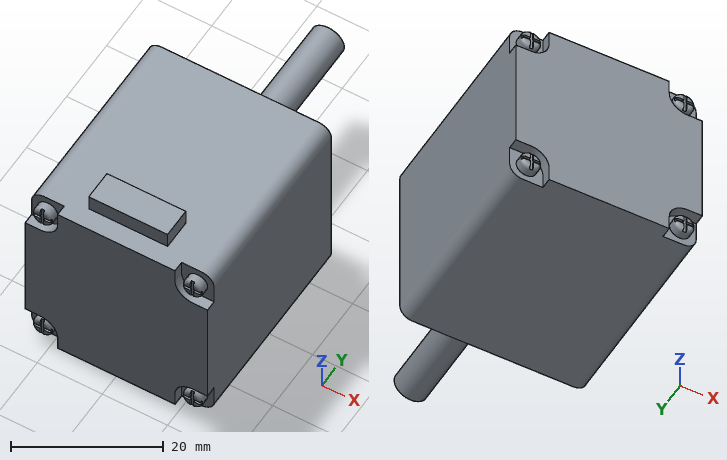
import cadquery as cq

WIDTH = 28.0
HOUSING_LENGTH = 31.0
EDGE_RADIUS = 1.95
PILOT_DIAMETER = 22.0
PILOT_HEIGHT = 2.0
PILOT_CHAMFER = 0.2

SHAFT_DIAMETER = 5.0
OVERALL_LENGTH = 53

CONNECTOR_WIDTH = 12.1
CONNECTOR_LENGTH = 4.55
CONNECTOR_HEIGHT = 2.5
CONNECTOR_REAR_GAP = 2.95

SCREW_INSET = 2.5
RECESS_SIZE = 2 * SCREW_INSET
RECESS_RADIUS = 2.75
RECESS_DEPTH = 1.65

HEAD_DIAMETER = 3.0
HEAD_HEIGHT = 1.55
HEAD_ROUNDING = 0.55
SLOT_WIDTH = 0.5
SLOT_DEPTH = 0.3

HALF_WIDTH = WIDTH / 2
PILOT_FACE = HOUSING_LENGTH + PILOT_HEIGHT
SCREW_OFFSET = HALF_WIDTH - SCREW_INSET
CORNERS = [(side_x, side_z) for side_x in (-1, 1) for side_z in (-1, 1)]


def rear_facing_plane(y):
    """Sketch plane at the given y: local x is +X, local y is +Z, negative extrusions run toward +Y."""
    return cq.Workplane(cq.Plane(origin=(0, y, 0), xDir=(1, 0, 0), normal=(0, -1, 0)))


def make_recess(side_x, side_z):
    """Corner recess: a square with its inward edge rounded."""
    center = HALF_WIDTH - RECESS_SIZE / 2
    block = (
        rear_facing_plane(0)
        .center(side_x * center, side_z * center)
        .rect(RECESS_SIZE, RECESS_SIZE)
        .extrude(-RECESS_DEPTH)
    )
    inward_x = "<X" if side_x > 0 else ">X"
    inward_z = "<Z" if side_z > 0 else ">Z"
    return block.faces(inward_x).edges(inward_z).fillet(RECESS_RADIUS)


def make_connector():
    return (
        cq.Workplane("XY", origin=(0, CONNECTOR_REAR_GAP + CONNECTOR_LENGTH / 2, HALF_WIDTH))
        .rect(CONNECTOR_WIDTH, CONNECTOR_LENGTH)
        .extrude(CONNECTOR_HEIGHT)
    )


def make_housing():
    block = (
        rear_facing_plane(0)
        .rect(WIDTH, WIDTH)
        .extrude(-HOUSING_LENGTH)
        .edges("|Y")
        .fillet(EDGE_RADIUS)
    )
    pilot = (
        rear_facing_plane(HOUSING_LENGTH)
        .circle(PILOT_DIAMETER / 2)
        .extrude(-PILOT_HEIGHT)
        .faces(">Y")
        .chamfer(PILOT_CHAMFER)
    )
    body = block.union(pilot).union(make_connector())
    for side_x, side_z in CORNERS:
        body = body.cut(make_recess(side_x, side_z))
    return body


def make_shaft():
    return rear_facing_plane(PILOT_FACE).circle(SHAFT_DIAMETER / 2).extrude(PILOT_FACE - OVERALL_LENGTH)


def make_screw_head(side_x, side_z):
    """Round-edged head standing on the recess floor, with a cross slot in its rear face."""
    top = RECESS_DEPTH - HEAD_HEIGHT
    head = (
        rear_facing_plane(RECESS_DEPTH)
        .circle(HEAD_DIAMETER / 2)
        .extrude(HEAD_HEIGHT)
        .faces("<Y")
        .edges()
        .fillet(HEAD_ROUNDING)
    )
    slots = (
        rear_facing_plane(top)
        .rect(HEAD_DIAMETER, SLOT_WIDTH)
        .extrude(-SLOT_DEPTH)
        .union(rear_facing_plane(top).rect(SLOT_WIDTH, HEAD_DIAMETER).extrude(-SLOT_DEPTH))
    )
    return head.cut(slots).translate((side_x * SCREW_OFFSET, 0, side_z * SCREW_OFFSET))


housing = make_housing()
shaft = make_shaft()
screw_heads = [make_screw_head(side_x, side_z) for side_x, side_z in CORNERS]

result = cq.Compound.makeCompound([housing.val(), shaft.val(), *[head.val() for head in screw_heads]])